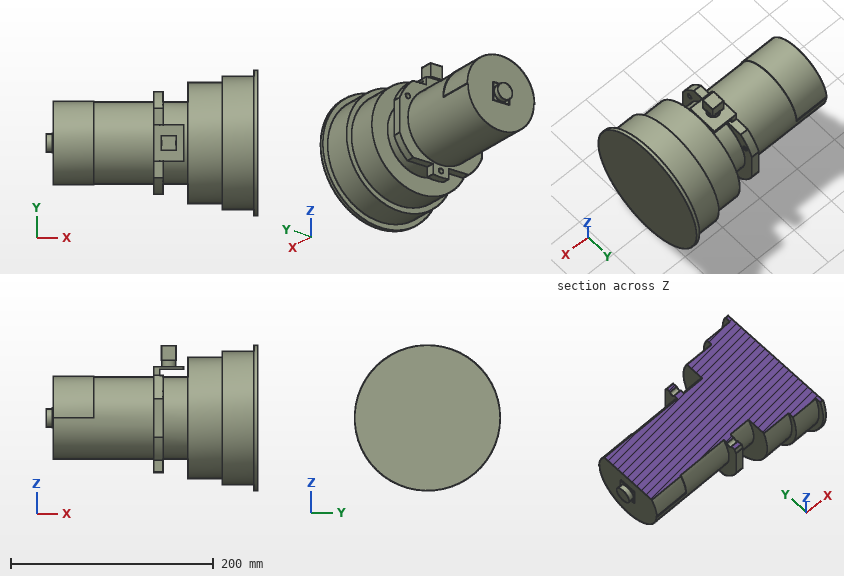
import cadquery as cq
import math

SHAFT_TIP = 0.0
PAD_FACE = 5.9
BODY_FACE = 7.0
COVER_END = 47.0
FLANGE_FRONT = 106.2
FLANGE_BACK = 115.5
SMALL_BARREL_FRONT = 140.0
LARGE_BARREL_FRONT = 173.7
RIM_FRONT = 205.0
RIM_BACK = 209.0

SHAFT_DIAMETER = 18.0
PAD_SIDE = 19.6
BODY_DIAMETER = 81.3
COVER_DIAMETER = 82.8
SMALL_BARREL_DIAMETER = 120.0
LARGE_BARREL_DIAMETER = 132.0
RIM_DIAMETER = 144.0

FLANGE_DIAMETER = 108.3
FLANGE_WIDTH = 101.4
FLANGE_HEIGHT = 83.8
TAB_WIDTH = 19.6
HOLE_DIAMETER = 5.5
HOLE_CIRCLE_RADIUS = 47.0
HOLE_ANGLES = (30, 150, 270)

BRACKET_WIDTH = 35.7
BRACKET_END = 135.8
BRACKET_TOP = 50.8
SHELF_THICKNESS = 3.0
LEG_THICKNESS = 6.0
PIN_X = 121.0
PIN_DIAMETER = 14.0
KNOB_SIDE = 14.6
KNOB_BOTTOM = 56.8
KNOB_TOP = 71.5


def disc(x_start, x_end, diameter):
    """Solid cylinder on the X axis."""
    return cq.Workplane("YZ", origin=(x_start, 0, 0)).circle(diameter / 2).extrude(x_end - x_start)


def block(x_start, x_end, width, z_bottom, z_top):
    """Rectangular block centred on Y = 0."""
    return cq.Workplane("XY").box(
        x_end - x_start, width, z_top - z_bottom, centered=(False, True, False)
    ).translate((x_start, 0, z_bottom))


def make_body():
    """Stepped round body with the shaft, its square pad and the raised half cover."""
    body = disc(BODY_FACE, RIM_BACK, BODY_DIAMETER)
    body = body.union(disc(SMALL_BARREL_FRONT, RIM_BACK, SMALL_BARREL_DIAMETER))
    body = body.union(disc(LARGE_BARREL_FRONT, RIM_BACK, LARGE_BARREL_DIAMETER))
    body = body.union(disc(RIM_FRONT, RIM_BACK, RIM_DIAMETER))
    upper_half = block(BODY_FACE, COVER_END, COVER_DIAMETER, 0, COVER_DIAMETER / 2)
    body = body.union(disc(BODY_FACE, COVER_END, COVER_DIAMETER).intersect(upper_half))
    body = body.union(block(PAD_FACE, BODY_FACE, PAD_SIDE, -PAD_SIDE / 2, PAD_SIDE / 2))
    return body.union(disc(SHAFT_TIP, BODY_FACE, SHAFT_DIAMETER))


def make_flange():
    """Round plate trimmed by flats, leaving a tab at the bottom, with three holes."""
    half_height = FLANGE_HEIGHT / 2
    outline = block(FLANGE_FRONT, FLANGE_BACK, FLANGE_WIDTH, -half_height, half_height)
    outline = outline.union(block(FLANGE_FRONT, FLANGE_BACK, TAB_WIDTH, -FLANGE_DIAMETER / 2, 0))
    flange = disc(FLANGE_FRONT, FLANGE_BACK, FLANGE_DIAMETER).intersect(outline)
    for angle in HOLE_ANGLES:
        y = HOLE_CIRCLE_RADIUS * math.cos(math.radians(angle))
        z = HOLE_CIRCLE_RADIUS * math.sin(math.radians(angle))
        flange = flange.cut(disc(FLANGE_FRONT, FLANGE_BACK, HOLE_DIAMETER).translate((0, y, z)))
    return flange


def make_bracket():
    """Angle bracket on top of the flange, carrying a pin and a square knob."""
    leg = block(FLANGE_FRONT, FLANGE_FRONT + LEG_THICKNESS, BRACKET_WIDTH, FLANGE_HEIGHT / 2, BRACKET_TOP)
    shelf = block(FLANGE_FRONT, BRACKET_END, BRACKET_WIDTH, BRACKET_TOP - SHELF_THICKNESS, BRACKET_TOP)
    pin = (
        cq.Workplane("XY", origin=(PIN_X, 0, BRACKET_TOP))
        .circle(PIN_DIAMETER / 2)
        .extrude(KNOB_BOTTOM - BRACKET_TOP)
    )
    knob = block(PIN_X - KNOB_SIDE / 2, PIN_X + KNOB_SIDE / 2, KNOB_SIDE, KNOB_BOTTOM, KNOB_TOP)
    return leg.union(shelf).union(pin).union(knob)


result = make_body().union(make_flange()).union(make_bracket())